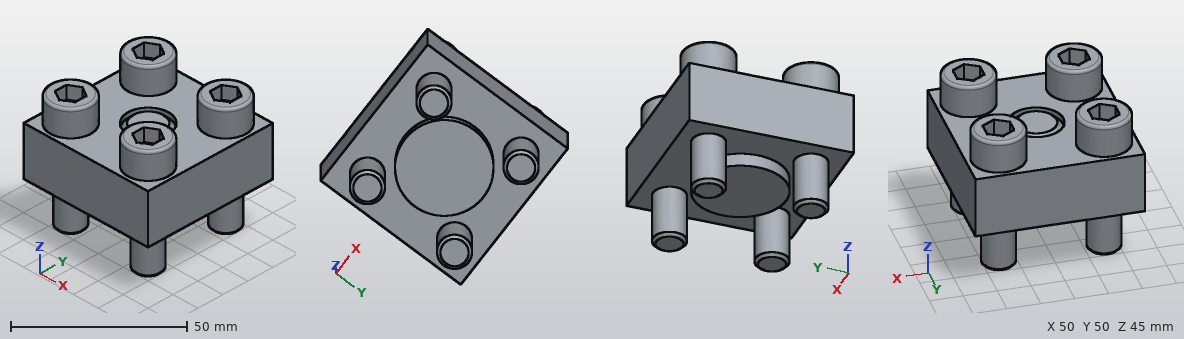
import cadquery as cq
import math

block_side = 50.0
block_height = 19.0

screw_spacing = 31.1
head_diameter = 16.0
head_height = 10.0
head_edge_radius = 1.0
shank_diameter = 10.0
shank_projection = 16.0
shank_chamfer = 1.0
socket_across_flats = 8.0
socket_depth = 5.0

spigot_diameter = 28.0
spigot_height = 4.0

groove_diameter = 16.0
cone_tip_diameter = 12.0
groove_depth = 2.0


def make_flange():
    block = cq.Workplane("XY").box(block_side, block_side, block_height, centered=(True, True, False))
    spigot = cq.Workplane("XY").circle(spigot_diameter / 2).extrude(-spigot_height)
    hole = (
        cq.Workplane("XY", origin=(0, 0, block_height))
        .circle(groove_diameter / 2)
        .extrude(-groove_depth)
    )
    cone = cq.Workplane("XY").add(
        cq.Solid.makeCone(
            groove_diameter / 2,
            cone_tip_diameter / 2,
            groove_depth,
            pnt=cq.Vector(0, 0, block_height - groove_depth),
        )
    )
    return block.union(spigot).cut(hole.cut(cone))


def make_screw():
    """Screw on the Z axis, with its head resting on the top of the block."""
    head = (
        cq.Workplane("XY", origin=(0, 0, block_height))
        .circle(head_diameter / 2)
        .extrude(head_height)
        .faces(">Z")
        .edges()
        .fillet(head_edge_radius)
    )
    shank = (
        cq.Workplane("XY", origin=(0, 0, -shank_projection))
        .circle(shank_diameter / 2)
        .extrude(shank_projection + block_height)
        .faces("<Z")
        .edges()
        .chamfer(shank_chamfer)
    )
    socket_across_corners = socket_across_flats / math.cos(math.pi / 6)
    socket = (
        cq.Workplane("XY", origin=(0, 0, block_height + head_height))
        .transformed(rotate=(0, 0, 30))
        .polygon(6, socket_across_corners)
        .extrude(-socket_depth)
    )
    return head.union(shank).cut(socket)


result = make_flange()
screw = make_screw()
for x_side in (-1, 1):
    for y_side in (-1, 1):
        corner = (x_side * screw_spacing / 2, y_side * screw_spacing / 2, 0)
        result = result.union(screw.translate(corner))